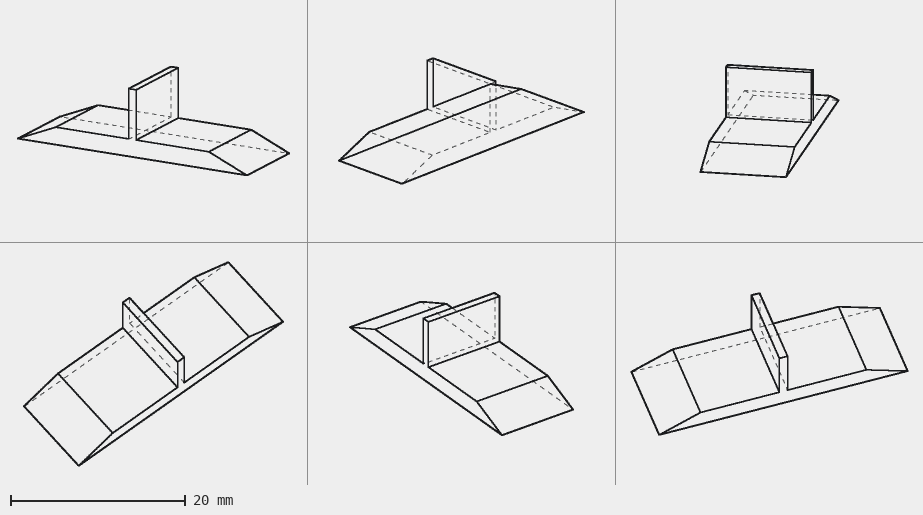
import cadquery as cq

length = 30.0
width = 10.0
base_height = 2.1
flat_top_length = 20.0
rib_thickness = 1.0
rib_height = 6.0

base = (
    cq.Workplane("XZ")
    .moveTo(-length / 2, 0)
    .lineTo(length / 2, 0)
    .lineTo(flat_top_length / 2, base_height)
    .lineTo(-flat_top_length / 2, base_height)
    .close()
    .extrude(width / 2, both=True)
)

rib = (
    cq.Workplane("XY")
    .box(rib_thickness, width, base_height + rib_height, centered=(True, True, False))
)

result = base.union(rib)